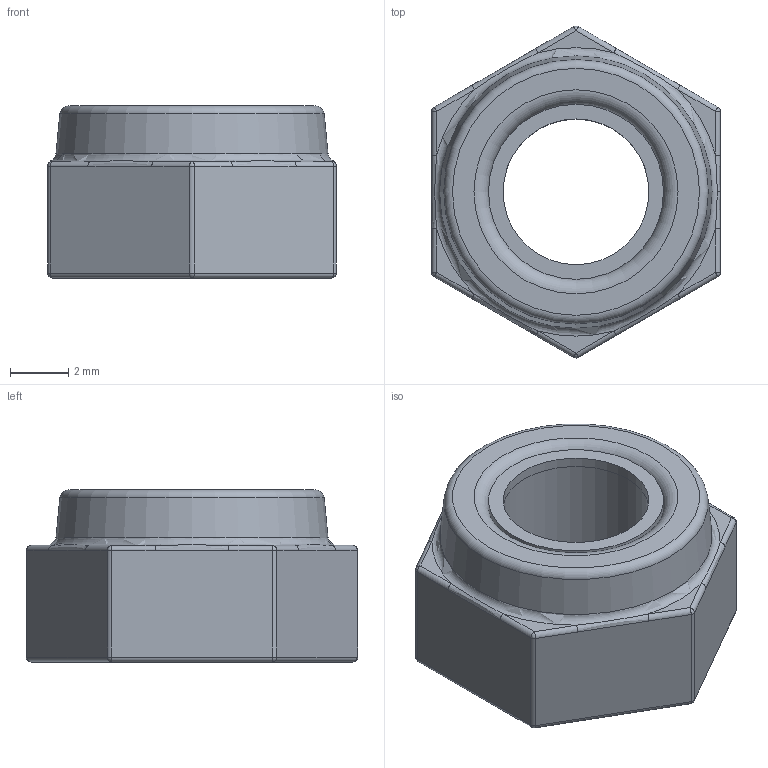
import cadquery as cq
import math

across_flats = 9.9
hex_height = 4.0
total_height = 5.9
edge_radius = 0.17
bore_radius = 2.5

collar_base_radius = 4.69
collar_draft_angle = 5.5
collar_rim_radius = 0.3
collar_foot_radius = 0.28

ring_outer_radius = 3.0
ring_height = 0.35
mouth_radius = 0.5

across_corners = across_flats / math.cos(math.radians(30))
collar_height = total_height - hex_height
collar_top_radius = collar_base_radius - collar_height * math.tan(math.radians(collar_draft_angle))
seat_height = total_height - mouth_radius
mouth_outer_radius = ring_outer_radius + mouth_radius


def hexagon():
    """Hexagonal prism with its flats facing +X and -X, rounded except along the top."""
    return (
        cq.Workplane("XY")
        .transformed(rotate=(0, 0, 30))
        .polygon(6, across_corners)
        .extrude(hex_height)
        .edges("|Z")
        .fillet(edge_radius)
        .faces("<Z")
        .edges()
        .fillet(edge_radius)
    )


def collar():
    """Tapered collar with a rounded top rim."""
    return (
        cq.Workplane("XZ")
        .moveTo(0, hex_height)
        .lineTo(collar_base_radius, hex_height)
        .lineTo(collar_top_radius, total_height)
        .lineTo(0, total_height)
        .close()
        .revolve(360, (0, 0), (0, 1))
        .faces(">Z")
        .edges()
        .fillet(collar_rim_radius)
    )


def bore_and_mouth():
    """Through bore, a flat ring seat, and a mouth that flares out with a convex quarter round."""
    arc_offset = mouth_radius * math.sqrt(0.5)
    arc_middle = (mouth_outer_radius - arc_offset, seat_height + arc_offset)
    return (
        cq.Workplane("XZ")
        .moveTo(0, 0)
        .lineTo(bore_radius, 0)
        .lineTo(bore_radius, seat_height)
        .lineTo(ring_outer_radius, seat_height)
        .threePointArc(arc_middle, (mouth_outer_radius, total_height))
        .lineTo(0, total_height)
        .close()
        .revolve(360, (0, 0), (0, 1))
    )


def make_nut():
    body = hexagon().union(collar())

    hex_top = body.faces("+Z").faces("<Z")
    collar_foot = hex_top.val().innerWires()[0].Edges()
    body = body.newObject(collar_foot).fillet(collar_foot_radius)

    hex_top = body.faces("+Z").faces("<Z")
    top_edges = hex_top.val().outerWire().Edges()
    body = body.newObject(top_edges).fillet(edge_radius)

    return body.cut(bore_and_mouth())


def make_ring():
    """Flat insert ring resting on the seat, just below the top of the nut."""
    return (
        cq.Workplane("XY", origin=(0, 0, seat_height))
        .circle(ring_outer_radius)
        .circle(bore_radius)
        .extrude(ring_height)
    )


nut = make_nut()
insert_ring = make_ring()

result = cq.Compound.makeCompound([nut.val(), insert_ring.val()])